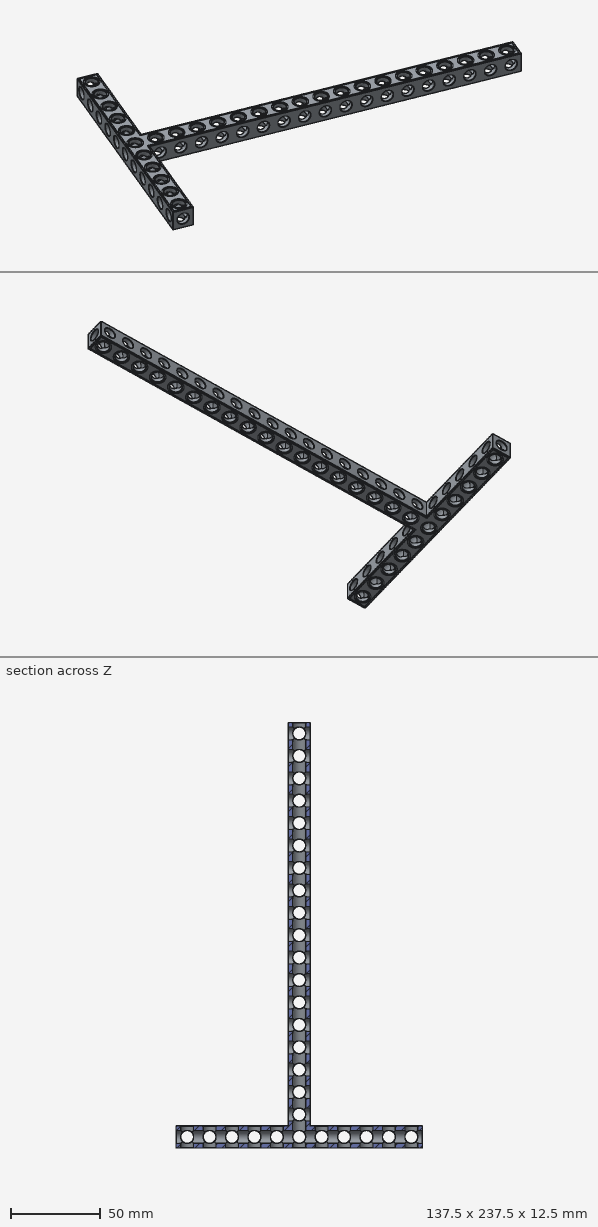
import cadquery as cq

pitch = 12.5
cross_count = 11
stem_count = 18
bore_diameter = 7.0
edge_bevel = 0.3
rim_width = 1.1
recess_depth = 0.2

half = pitch / 2
cross_length = cross_count * pitch
stem_length = stem_count * pitch
bore_radius = bore_diameter / 2
ring_radius = bore_radius + rim_width
last_cross_x = (cross_count - 1) / 2 * pitch
cross_points = [(i * pitch - last_cross_x, 0) for i in range(cross_count)]
stem_points = [(0, i * pitch) for i in range(1, stem_count + 1)]
upright_points = cross_points + stem_points


def tee(inset, height):
    """T-shaped plate centred on the hole where the beams meet, its outline moved inwards by inset."""
    trim = 2 * inset
    cross = cq.Workplane("XY").box(cross_length - trim, pitch - trim, height)
    stem = cq.Workplane("XY").center(0, stem_length / 2).box(pitch - trim, pitch + stem_length - trim, height)
    return cross.union(stem).clean()


def make_body():
    """Solid T with bevelled end corners and bevelled top and bottom outlines."""
    body = tee(0, pitch)
    body = body.edges("|Z").edges("<X or >X or <Y or >Y").chamfer(edge_bevel)
    return body.faces("|Z").chamfer(edge_bevel)


def make_recess():
    """Volume removed from the top and bottom faces, leaving the outline rim and the hole rings."""
    core_height = pitch - 2 * recess_depth
    core = tee(0, core_height)
    rings = cq.Workplane("XY").workplane(offset=-half).pushPoints(upright_points)
    return tee(rim_width, pitch).cut(rings.circle(ring_radius).extrude(pitch)).cut(core)


def bevelled_bore(length):
    """Cutter for a round through hole along Z with a bevelled mouth at each end."""
    end = length / 2
    mouth_radius = bore_radius + edge_bevel
    profile = [
        (0, -end),
        (mouth_radius, -end),
        (bore_radius, edge_bevel - end),
        (bore_radius, end - edge_bevel),
        (mouth_radius, end),
        (0, end),
    ]
    return cq.Workplane("XZ").polyline(profile).close().revolve(360, (0, 0), (0, 1))


def along_x(cutter):
    """Turn an upright cutter to lie along X."""
    return cutter.rotate((0, 0, 0), (0, 1, 0), 90)


def along_y(cutter):
    """Turn an upright cutter to lie along Y."""
    return cutter.rotate((0, 0, 0), (1, 0, 0), 90)


result = make_body().cut(make_recess())

short_bore = bevelled_bore(pitch)
for x, y in upright_points:
    result = result.cut(short_bore.translate((x, y, 0)))

stem_bore = bevelled_bore(pitch + stem_length)
for x, y in cross_points:
    if x == 0:
        result = result.cut(along_y(stem_bore).translate((0, stem_length / 2, 0)))
    else:
        result = result.cut(along_y(short_bore).translate((x, y, 0)))

for x, y in stem_points:
    result = result.cut(along_x(short_bore).translate((x, y, 0)))

result = result.cut(along_x(bevelled_bore(cross_length)))

result = cq.Workplane(result.solids().val())